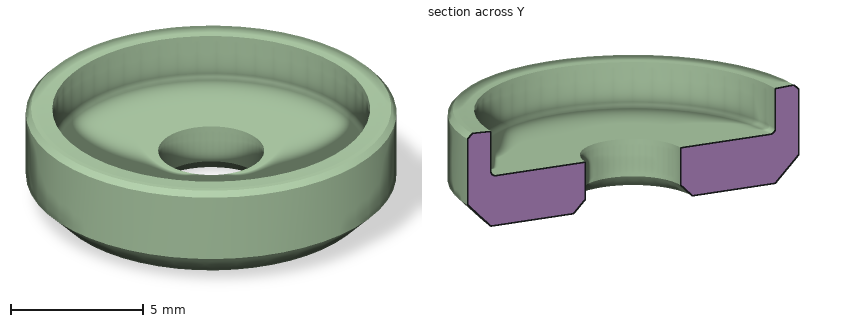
import cadquery as cq

outer_diameter = 14.0
height = 3.8

bottom_chamfer = 1.0
top_chamfer = 0.2

recess_diameter = 12.0
recess_depth = 1.8
recess_fillet = 0.2
hole_diameter = 4.0
countersink_depth = 0.5

flat_band_width = 0.2
cone_drop = 0.03


def make_body():
    """Disc with a large chamfer below and a small one above."""
    disc = cq.Workplane("XY").circle(outer_diameter / 2).extrude(height)
    disc = disc.faces("<Z").chamfer(bottom_chamfer)
    return disc.faces(">Z").chamfer(top_chamfer)


def make_recess():
    """Round recess cutter, rounded where its wall meets the floor."""
    floor_height = height - recess_depth
    cutter = cq.Workplane("XY").workplane(offset=floor_height)
    cutter = cutter.circle(recess_diameter / 2).extrude(recess_depth)
    return cutter.faces("<Z").edges().fillet(recess_fillet)


def make_rim_cone():
    """Shallow conical cutter that slopes the inner part of the rim inward."""
    cone_radius = outer_diameter / 2 - top_chamfer - flat_band_width
    recess_radius = recess_diameter / 2
    profile = cq.Workplane("XZ").moveTo(0, height).lineTo(cone_radius, height)
    profile = profile.lineTo(recess_radius, height - cone_drop).lineTo(0, height - cone_drop).close()
    return profile.revolve(360, (0, 0, 0), (0, 1, 0))


def make_hole():
    """Cutter for the central through hole, countersunk at 45 degrees from below."""
    hole_radius = hole_diameter / 2
    profile = cq.Workplane("XZ").lineTo(hole_radius + countersink_depth, 0)
    profile = profile.lineTo(hole_radius, countersink_depth).lineTo(hole_radius, height)
    profile = profile.lineTo(0, height).close()
    return profile.revolve(360, (0, 0, 0), (0, 1, 0))


result = make_body().cut(make_recess()).cut(make_rim_cone()).cut(make_hole())